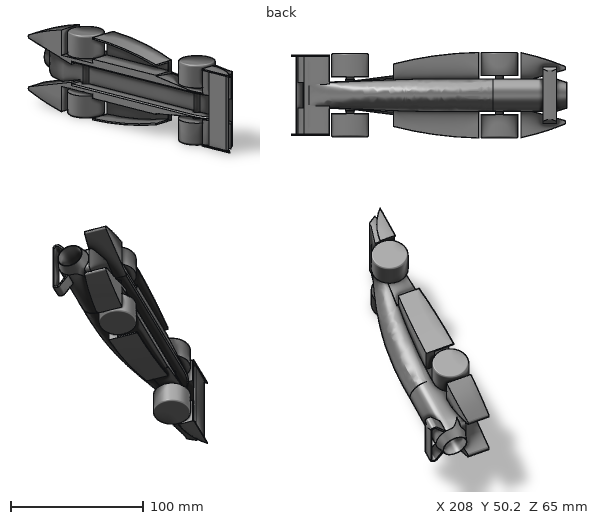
import cadquery as cq
import math


car_length = 208.0
floor_y = -9.8
ceiling_y = 0.0

wheel_dia = 28.0
wheel_width = 17.7
wheel_rim_fillet = 1.5
axle_dia = 6.0
axle_end_z = 11.5
rear_axle_x = 51.0
front_axle_x = 164.0
rear_wheel_outer_z = 32.5
front_wheel_outer_z = 31.6
hub_dia = 7.0
hub_end_z = 11.9

body_half_width = 12.3
chamber_axis_y = 19.0
chamber_dia = 19.0
chamber_depth = 50.0
chamber_body_end_x = 56.0
nozzle_radius = 9.8
nozzle_end_x = 7.7
tail_x = 7.7
tail_top_y = 10.5
tail_corner_radius = 6.0
tail_bottom_y = 6.5
tail_slope_end_x = 28.3

nose_front_x = 195.0
shoulder_rear_y = 17.7
shoulder_front_y = 1.0
nose_stations = [
    (chamber_body_end_x, chamber_axis_y + body_half_width, body_half_width),
    (90.0, 30.5, body_half_width),
    (125.0, 25.2, 11.9),
    (161.2, 14.4, 10.2),
    (nose_front_x, 1.7, 9.5),
]

well_rear_x = 34.7
well_front_x = 66.5
pod_outer_z = 32.2
pod_apex_x = -2.5
pod_apex_z = 20.2
pod_tip_radius = 1.7

rail_start_x = 44.7
rail_outer_z = 9.8
channel_half_width = 8.5
channel_mouth_half_width = 7.0
channel_chamfer = 1.0
lower_body_half_width = 15.4
ramp_start_x = 167.3
ramp_radius = 32.2
taper_stations = [
    (131.0, 14.8, 13.0),
    (165.0, 10.5, 10.2),
    (nose_front_x, rail_outer_z, rail_outer_z),
]

sidepod_rear_z = 32.5
sidepod_front_x = 131.0
sidepod_front_z = 23.7
sidepod_wall = 1.2
sidepod_pocket_top_y = 6.2
sidepod_lip_y = 5.0
deck_rear_y = 13.3
deck_front_y = 7.5

wing_rear_x = 179.5
endplate_outer_z = 30.4
endplate_thickness = 1.0
endplate_bottom_y = -11.6
endplate_top_y = 0.8
wing_half_span = endplate_outer_z - endplate_thickness
wing_floor_bottom_y = -11.0
wing_floor_top_y = -9.4
wing_channel_length = 83.2
wing_channel_depth = 41.6

hoop_start_x = 7.7
hoop_end_x = 18.0
hoop_top_y = 36.2
hoop_thickness = 1.5
hoop_bow = 0.6
hoop_corner_z = 27.7
hoop_foot_z = 11.2
hoop_foot_y = 22.9
hoop_corner_radius = 3.5


def both_sides(half):
    """Join a feature on the +Z side with its mirror image."""
    return half.union(half.mirror("XY"))


def plan_prism(outline, bottom_y, top_y):
    """Extrude an outline drawn in X and Z from bottom_y up to top_y."""
    return outline.extrude(bottom_y - top_y).translate((0, bottom_y, 0))


def side_prism(outline, half_depth):
    """Extrude an outline drawn in X and Y to both sides of z = 0."""
    return outline.extrude(half_depth, both=True)


def shoulder_y(x):
    """Height of the straight line where the nose sides turn into its crown."""
    share = (x - chamber_body_end_x) / (nose_front_x - chamber_body_end_x)
    return shoulder_rear_y + share * (shoulder_front_y - shoulder_rear_y)


def make_chamber_body():
    """Round-topped housing trimmed by the nozzle cone, with a sloping tail block."""
    housing = (
        cq.Workplane("YZ")
        .moveTo(ceiling_y, -body_half_width)
        .lineTo(chamber_axis_y, -body_half_width)
        .threePointArc((chamber_axis_y + body_half_width, 0), (chamber_axis_y, body_half_width))
        .lineTo(ceiling_y, body_half_width)
        .close()
        .extrude(chamber_body_end_x)
    )
    growth = (body_half_width - nozzle_radius) / nozzle_end_x
    cone_end_radius = nozzle_radius + growth * chamber_body_end_x
    cone = (
        cq.Workplane("XY")
        .polyline([
            (0, chamber_axis_y),
            (0, chamber_axis_y + nozzle_radius),
            (chamber_body_end_x, chamber_axis_y + cone_end_radius),
            (chamber_body_end_x, chamber_axis_y),
        ])
        .close()
        .revolve(360, (0, chamber_axis_y), (1, chamber_axis_y))
    )
    tail_length = chamber_body_end_x - tail_x
    tail = (
        cq.Workplane("XY")
        .box(tail_length, tail_top_y - ceiling_y, 2 * body_half_width, centered=(False, False, True))
        .translate((tail_x, ceiling_y, 0))
        .edges("|Y and <X")
        .fillet(tail_corner_radius)
    )
    under_slope = cq.Workplane("XY").polyline([
        (tail_x, tail_bottom_y),
        (tail_slope_end_x, ceiling_y),
        (tail_x, ceiling_y),
    ]).close()
    return housing.intersect(cone).union(tail).cut(side_prism(under_slope, body_half_width))


def make_nose():
    """Loft through arched sections that sink toward the front."""
    nose = cq.Workplane("YZ")
    last_x = 0
    for x, crown_y, half_width in nose_stations:
        shoulder = shoulder_y(x)
        nose = (
            nose.workplane(offset=x - last_x)
            .moveTo(ceiling_y, -half_width)
            .lineTo(shoulder, -half_width)
            .ellipseArc(crown_y - shoulder, half_width, -90, 90, startAtCurrent=True)
            .lineTo(ceiling_y, half_width)
            .close()
        )
        last_x = x
    return nose.loft(combine=True)


def make_pod():
    """Pointed pod behind the rear wheel on the +Z side, with an arched top."""
    plan = (
        cq.Workplane("XZ")
        .moveTo(pod_apex_x, pod_apex_z)
        .threePointArc((18.7, 28.0), (well_rear_x, pod_outer_z))
        .lineTo(well_rear_x, body_half_width)
        .lineTo(rail_start_x, body_half_width)
        .lineTo(rail_start_x, channel_mouth_half_width)
        .close()
    )
    crown = (
        cq.Workplane("XY")
        .moveTo(0, floor_y)
        .lineTo(0, 7.3)
        .threePointArc((12.0, 9.0), (well_rear_x, tail_top_y))
        .lineTo(rail_start_x, tail_top_y)
        .lineTo(rail_start_x, floor_y)
        .close()
    )
    pod = plan_prism(plan, floor_y, tail_top_y).edges("|Y and <X").fillet(pod_tip_radius)
    return pod.intersect(side_prism(crown, pod_outer_z))


def deck_outline(start_x):
    """Side outline below the arched deck, from the floor up, ending at the sidepod front."""
    return (
        cq.Workplane("XY")
        .moveTo(start_x, floor_y)
        .lineTo(start_x, deck_rear_y)
        .lineTo(chamber_body_end_x, deck_rear_y)
        .threePointArc((99.9, 11.2), (sidepod_front_x, deck_front_y))
    )


def make_rear_slab():
    """Slab under the housing and the rear of the nose, between the sidepods."""
    plan = (
        cq.Workplane("XZ")
        .polyline([
            (rail_start_x, 0),
            (rail_start_x, body_half_width),
            (well_front_x, body_half_width),
            (well_front_x, lower_body_half_width),
            (sidepod_front_x, lower_body_half_width),
            (sidepod_front_x, 0),
        ])
        .close()
    )
    outline = deck_outline(rail_start_x).lineTo(sidepod_front_x, floor_y).close()
    slab = both_sides(plan_prism(plan, floor_y, deck_rear_y))
    return slab.intersect(side_prism(outline, lower_body_half_width))


def make_front_slab():
    """Slab under the front of the nose, tapering to the rails, with an upswept underside."""
    slab = cq.Workplane("YZ")
    last_x = 0
    for x, bottom_half_width, top_half_width in taper_stations:
        slab = (
            slab.workplane(offset=x - last_x)
            .polyline([
                (floor_y, -bottom_half_width),
                (shoulder_y(x), -top_half_width),
                (shoulder_y(x), top_half_width),
                (floor_y, bottom_half_width),
            ])
            .close()
        )
        last_x = x
    slab = slab.loft(ruled=True, combine=True)
    ramp_center_y = floor_y + ramp_radius
    ramp_end_x = ramp_start_x + math.sqrt(ramp_radius**2 - (ramp_center_y - ceiling_y) ** 2)
    under_ramp = (
        cq.Workplane("XY")
        .moveTo(ramp_start_x, floor_y)
        .radiusArc((ramp_end_x, ceiling_y), -ramp_radius)
        .lineTo(nose_front_x, ceiling_y)
        .lineTo(nose_front_x, floor_y)
        .close()
    )
    return slab.cut(side_prism(under_ramp, lower_body_half_width))


def make_slab_with_channel():
    """Whole slab with the channel between its rails, chamfered along the lower inner edges."""
    slab = make_rear_slab().union(make_front_slab())
    channel_length = nose_front_x - rail_start_x
    channel = (
        cq.Workplane("XY")
        .box(channel_length, ceiling_y - floor_y, 2 * channel_half_width, centered=(False, False, True))
        .translate((rail_start_x, floor_y, 0))
    )
    slab = slab.cut(channel)
    for side in (1, -1):
        near = side * channel_half_width - 0.2
        inner_edges = cq.selectors.BoxSelector(
            (rail_start_x + 2, floor_y - 2, near),
            (nose_front_x, -2, near + 0.5),
        )
        slab = slab.edges(inner_edges).chamfer(channel_chamfer)
    return slab


def sidepod_plan(start_x, end_x, inset):
    """Plan of a sidepod, drawn with its curved side moved inward by inset."""
    return (
        cq.Workplane("XZ")
        .moveTo(start_x, lower_body_half_width)
        .lineTo(start_x, sidepod_rear_z - inset)
        .threePointArc((98.8, 30.0 - inset), (end_x, sidepod_front_z - inset))
        .lineTo(end_x, lower_body_half_width)
        .close()
    )


def make_sidepod():
    """Hollow sidepod on the +Z side, open underneath and at both ends, with a lip at the front."""
    outer = plan_prism(sidepod_plan(well_front_x, sidepod_front_x, 0), floor_y, deck_rear_y)
    deck = deck_outline(rail_start_x).lineTo(sidepod_front_x, floor_y).close()
    pocket_plan = sidepod_plan(well_front_x, sidepod_front_x - sidepod_wall, sidepod_wall)
    pocket = plan_prism(pocket_plan, floor_y, sidepod_pocket_top_y)
    front_opening = (
        cq.Workplane("XY")
        .box(
            2 * sidepod_wall,
            sidepod_lip_y - floor_y,
            sidepod_front_z - sidepod_wall - lower_body_half_width,
            centered=(True, False, False),
        )
        .translate((sidepod_front_x, floor_y, lower_body_half_width))
    )
    return outer.intersect(side_prism(deck, sidepod_rear_z)).cut(pocket).cut(front_opening)


def make_front_wing():
    """Wedge-shaped wing with a thin floor plate between two curved end plates."""
    wedge = cq.Workplane("XY").polyline([
        (wing_rear_x, 5.2),
        (nose_front_x, 1.5),
        (198.7, 1.5),
        (203.2, -5.2),
        (wing_rear_x, -10.8),
    ]).close()
    floor_plate = cq.Workplane("XY").polyline([
        (185.0, wing_floor_top_y),
        (204.7, wing_floor_top_y),
        (203.5, wing_floor_bottom_y),
        (186.2, wing_floor_bottom_y),
    ]).close()
    endplate = (
        cq.Workplane("XY", origin=(0, 0, wing_half_span))
        .moveTo(wing_rear_x, endplate_bottom_y)
        .lineTo(wing_rear_x, endplate_top_y)
        .threePointArc((196.0, -3.5), (car_length, endplate_bottom_y))
        .close()
        .extrude(endplate_thickness)
    )
    channel = (
        cq.Workplane("XY")
        .box(wing_channel_length, wing_channel_depth, 2 * rail_outer_z)
        .translate((nose_front_x, ceiling_y - wing_channel_depth / 2, 0))
    )
    wing = side_prism(wedge, wing_half_span).cut(channel)
    return wing.union(side_prism(floor_plate, wing_half_span)).union(both_sides(endplate))


def make_hoop():
    """Rear wing: a thin rounded hoop with a bowed top, standing on the housing."""
    points = [
        (hoop_foot_y, -hoop_foot_z),
        (hoop_top_y, -hoop_corner_z),
        (hoop_top_y, hoop_corner_z),
        (hoop_foot_y, hoop_foot_z),
    ]
    outer = cq.Workplane("YZ", origin=(hoop_start_x, 0, 0)).polyline(points).close()
    solid = outer.extrude(hoop_end_x - hoop_start_x).edges("|X and >Y").fillet(hoop_corner_radius)
    hoop = solid.faces("<X or >X").shell(-hoop_thickness)
    side_y = hoop_top_y - hoop_bow
    bow = (
        cq.Workplane("XY")
        .moveTo(hoop_start_x, hoop_foot_y)
        .lineTo(hoop_start_x, side_y)
        .threePointArc(((hoop_start_x + hoop_end_x) / 2, hoop_top_y), (hoop_end_x, side_y))
        .lineTo(hoop_end_x, hoop_foot_y)
        .close()
    )
    return hoop.intersect(side_prism(bow, hoop_corner_z))


def cross_rod(x, diameter, half_length):
    """Cylinder along Z, centred on the car at wheel axis height."""
    return cq.Workplane("XY", origin=(x, 0, -half_length)).circle(diameter / 2).extrude(2 * half_length)


def make_car_body():
    """Housing, nose, rails, pods and wings as one solid, bored for the chamber and the axles."""
    body = make_chamber_body().union(make_nose()).union(make_slab_with_channel())
    body = body.union(both_sides(make_pod())).union(both_sides(make_sidepod()))
    hub_core = cross_rod(front_axle_x, hub_dia, channel_half_width)
    body = body.union(cross_rod(front_axle_x, hub_dia, hub_end_z).cut(hub_core))
    body = body.union(make_front_wing()).union(make_hoop())
    chamber = cq.Workplane("YZ").center(chamber_axis_y, 0).circle(chamber_dia / 2).extrude(chamber_depth)
    body = body.cut(chamber)
    for x in (rear_axle_x, front_axle_x):
        body = body.cut(cross_rod(x, axle_dia, lower_body_half_width))
    return body


def make_wheel(x, outer_z, side):
    """Wheel with its stub axle; side is 1 for +Z and -1 for -Z."""
    inner_z = outer_z - wheel_width
    tyre = (
        cq.Workplane("XY", origin=(x, 0, inner_z))
        .circle(wheel_dia / 2)
        .extrude(wheel_width)
        .faces(">Z")
        .edges()
        .fillet(wheel_rim_fillet)
    )
    stub = (
        cq.Workplane("XY", origin=(x, 0, axle_end_z))
        .circle(axle_dia / 2)
        .extrude(inner_z - axle_end_z)
    )
    wheel = tyre.union(stub)
    if side < 0:
        wheel = wheel.mirror("XY")
    return wheel


car_body = make_car_body()
wheels = []
for axle_x, wheel_outer_z in ((rear_axle_x, rear_wheel_outer_z), (front_axle_x, front_wheel_outer_z)):
    for side in (1, -1):
        wheels.append(make_wheel(axle_x, wheel_outer_z, side).val())

result = cq.Compound.makeCompound([car_body.val(), *wheels])